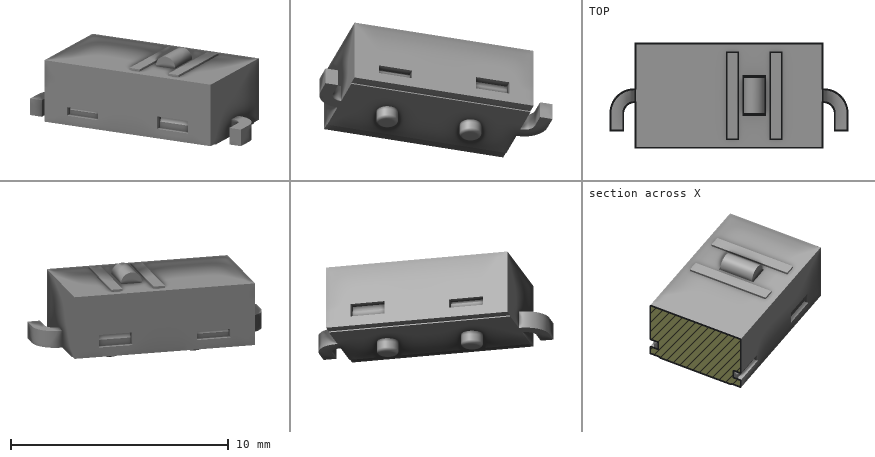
import cadquery as cq

overall_length = 10.9
housing_length = 8.6
housing_width = 4.8
housing_top = 3.0

insert_width = 3.79
insert_drop = 0.05

knob_x = 1.15
knob_radius = 0.5
knob_length = 1.68
slot_length = 1.81
slot_depth = 0.5

rib_offset = 1.0
rib_width = 0.53
rib_length = 4.0
rib_height = 0.1

pin_spacing = 4.0
pin_diameter = 1.0
pin_length = 0.6
pin_fillet = 0.15

lead_thickness = 0.6
lead_height = 0.8
lead_inner_radius = 0.5
lead_outer_radius = lead_inner_radius + lead_thickness
lead_tip_y = -1.6
lead_embed = 0.11

window_x = 2.33
window_width = 1.6
window_bottom = 0.5
window_depth = 0.4
short_window_height = 0.4
tall_window_height = 0.6
short_catch_height = 0.24
tall_catch_height = 0.3
catch_recess = 0.21
catch_gap = 0.04


def make_housing():
    wall_height = housing_top - insert_drop
    housing = cq.Workplane("XY").box(
        housing_length, housing_width, wall_height, centered=(True, True, False)
    ).translate((0, 0, insert_drop))
    insert = cq.Workplane("XY").box(
        housing_length, insert_width, housing_top, centered=(True, True, False)
    )
    return housing.union(insert)


def make_window(x, height, catch_height):
    """Pocket in the -Y wall, less the catch whose top slopes up and inward."""
    front = -housing_width / 2
    back = front + window_depth
    catch_front = front + catch_recess
    top = window_bottom + height
    pocket = (
        cq.Workplane("XY")
        .box(window_width, window_depth, height, centered=(True, False, False))
        .translate((x, front, window_bottom))
    )
    catch = (
        cq.Workplane("YZ")
        .moveTo(catch_front, window_bottom)
        .lineTo(catch_front, window_bottom + catch_height)
        .lineTo(back, top)
        .lineTo(back, window_bottom)
        .close()
        .extrude(window_width / 2 - catch_gap, both=True)
        .translate((x, 0, 0))
    )
    return pocket.cut(catch)


def make_knob():
    return (
        cq.Workplane("XZ")
        .center(knob_x, housing_top)
        .moveTo(-knob_radius, -slot_depth)
        .lineTo(-knob_radius, 0)
        .threePointArc((0, knob_radius), (knob_radius, 0))
        .lineTo(knob_radius, -slot_depth)
        .close()
        .extrude(knob_length / 2, both=True)
    )


def make_slot():
    return cq.Workplane("XY").box(
        2 * knob_radius, slot_length, slot_depth, centered=(True, True, False)
    ).translate((knob_x, 0, housing_top - slot_depth))


def make_rib(x):
    return cq.Workplane("XY").box(
        rib_width, rib_length, rib_height, centered=(True, True, False)
    ).translate((x, 0, housing_top))


def make_pin(x):
    return (
        cq.Workplane("XY")
        .center(x, 0)
        .circle(pin_diameter / 2)
        .extrude(-pin_length)
        .faces("<Z")
        .edges()
        .fillet(pin_fillet)
    )


def make_lead():
    """Lead on the +X end: straight out of the insert, then bent toward -Y."""
    root_x = housing_length / 2 - lead_embed
    tip_x = overall_length / 2
    bend_x = tip_x - lead_outer_radius
    bend_y = lead_thickness / 2 - lead_outer_radius
    return (
        cq.Workplane("XY")
        .moveTo(root_x, lead_thickness / 2)
        .lineTo(bend_x, lead_thickness / 2)
        .tangentArcPoint((tip_x, bend_y), relative=False)
        .lineTo(tip_x, lead_tip_y)
        .lineTo(tip_x - lead_thickness, lead_tip_y)
        .lineTo(tip_x - lead_thickness, bend_y)
        .tangentArcPoint((bend_x, -lead_thickness / 2), relative=False)
        .lineTo(root_x, -lead_thickness / 2)
        .close()
        .extrude(lead_height)
    )


result = make_housing().cut(make_slot()).union(make_knob())

for window in (
    make_window(-window_x, short_window_height, short_catch_height),
    make_window(window_x, tall_window_height, tall_catch_height),
):
    result = result.cut(window).cut(window.mirror("XZ"))

for side in (-1, 1):
    result = result.union(make_rib(knob_x + side * rib_offset))
    result = result.union(make_pin(side * pin_spacing / 2))

lead = make_lead()
result = result.union(lead).union(lead.mirror("YZ"))